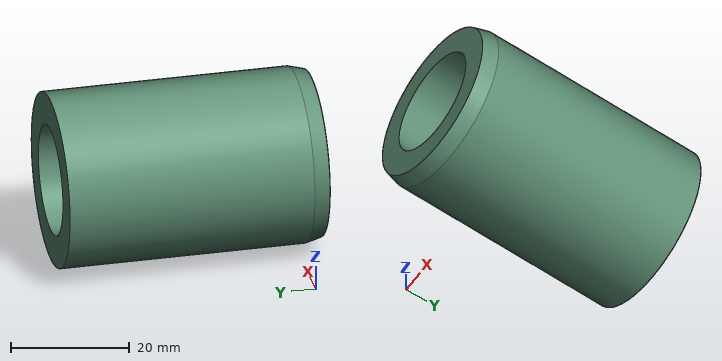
import cadquery as cq
import math

length = 45.0
outer_diameter = 30.0
bore_diameter = 19.0
lead_in_length = 2.8
lead_in_angle = 15.0

outer_radius = outer_diameter / 2
bore_radius = bore_diameter / 2
lead_in_radius = outer_radius - lead_in_length * math.tan(math.radians(lead_in_angle))

wall_section = (
    cq.Workplane("XY")
    .moveTo(bore_radius, 0)
    .lineTo(lead_in_radius, 0)
    .lineTo(outer_radius, lead_in_length)
    .lineTo(outer_radius, length)
    .lineTo(bore_radius, length)
    .close()
)

result = wall_section.revolve(360, (0, 0, 0), (0, 1, 0))